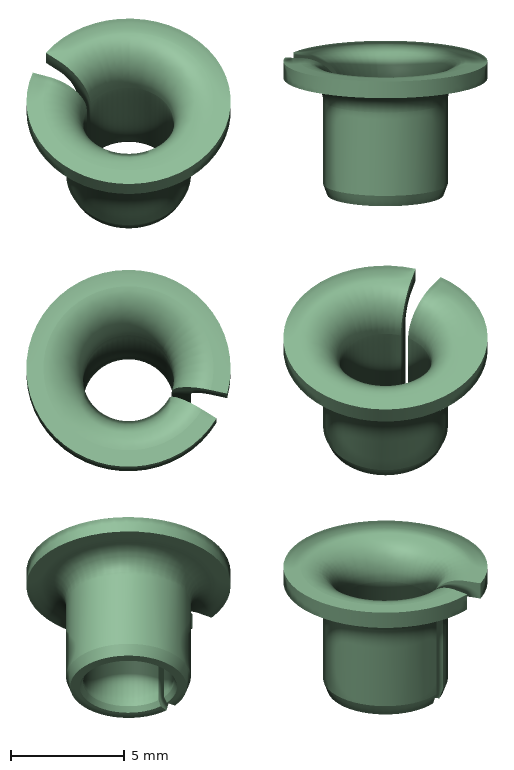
import math

import cadquery as cq

bore_radius = 2.0
wall = 0.75
height = 6.0
flange_radius = 4.5
flare_radius = 1.75
neck_radius = flare_radius - wall
body_radius = bore_radius + wall

lead_height = 0.5
lead_angle = 20.0
lead_inset = lead_height * math.tan(math.radians(lead_angle))

bore_chamfer_height = 0.25
bore_chamfer_angle = 30.0
bore_chamfer_width = bore_chamfer_height * math.tan(math.radians(bore_chamfer_angle))

split_half_angle = 10.0
split_apex_x = -1.0
split_overrun = 1.0


def flare_arc_middle(center_x, center_z, radius):
    """Middle of the quarter arc above its center, on the side facing the axis."""
    offset = radius * math.sqrt(0.5)
    return (center_x - offset, center_z + offset)


def make_bushing():
    flare_x = bore_radius + flare_radius
    flare_z = height - flare_radius
    profile = (
        cq.Workplane("XZ")
        .moveTo(bore_radius + bore_chamfer_width, 0)
        .lineTo(body_radius - lead_inset, 0)
        .lineTo(body_radius, lead_height)
        .lineTo(body_radius, flare_z)
        .threePointArc(
            flare_arc_middle(flare_x, flare_z, neck_radius),
            (flare_x, height - wall),
        )
        .lineTo(flange_radius, height - wall)
        .lineTo(flange_radius, height)
        .lineTo(flare_x, height)
        .threePointArc(
            flare_arc_middle(flare_x, flare_z, flare_radius),
            (bore_radius, flare_z),
        )
        .lineTo(bore_radius, bore_chamfer_height)
        .close()
    )
    bushing = profile.revolve(360, (0, 0, 0), (0, 1, 0))
    return bushing.rotate((0, 0, 0), (0, 0, 1), 180)


def make_split():
    outer_x = -flange_radius - split_overrun
    half_width = (split_apex_x - outer_x) * math.tan(math.radians(split_half_angle))
    return (
        cq.Workplane("XY")
        .moveTo(split_apex_x, 0)
        .lineTo(outer_x, half_width)
        .lineTo(outer_x, -half_width)
        .close()
        .extrude(height)
    )


result = make_bushing().cut(make_split())